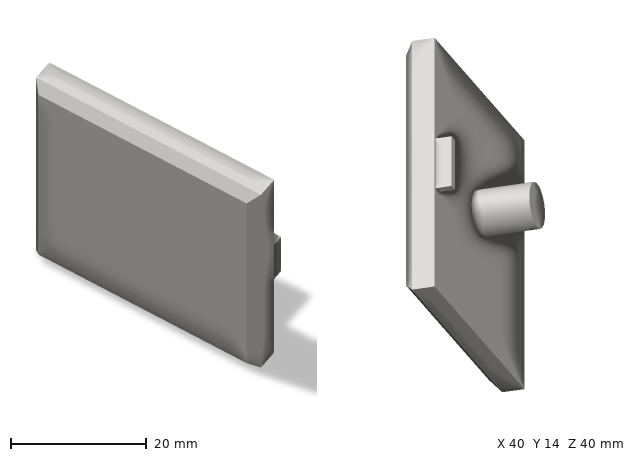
import cadquery as cq

plate_side = 40.0
plate_thickness = 5.0
bevel = 1.5

total_depth = 14.0
stem_diameter = 7.0
stem_length = total_depth - plate_thickness

rib_width = 1.5
rib_height = 8.0
rib_length = 2.5
rib_edge_gap = 0.5


def make_plate():
    """Square plate with its front edges bevelled."""
    plate = cq.Workplane("XY").box(
        plate_side, plate_thickness, plate_side, centered=(True, False, True)
    )
    return plate.faces("<Y").edges().chamfer(bevel)


def back_plane():
    """Sketch plane on the back face, with its normal along +Y."""
    back_face = cq.Plane(origin=(0, plate_thickness, 0), xDir=(1, 0, 0), normal=(0, 1, 0))
    return cq.Workplane(back_face)


def make_stem():
    """Round stem standing on the middle of the back face."""
    return back_plane().circle(stem_diameter / 2).extrude(stem_length)


def make_rib():
    """Rectangular rib set in from the +X edge, centred in Z."""
    rib_x = plate_side / 2 - rib_edge_gap - rib_width / 2
    return back_plane().center(rib_x, 0).rect(rib_width, rib_height).extrude(rib_length)


result = make_plate().union(make_stem()).union(make_rib())